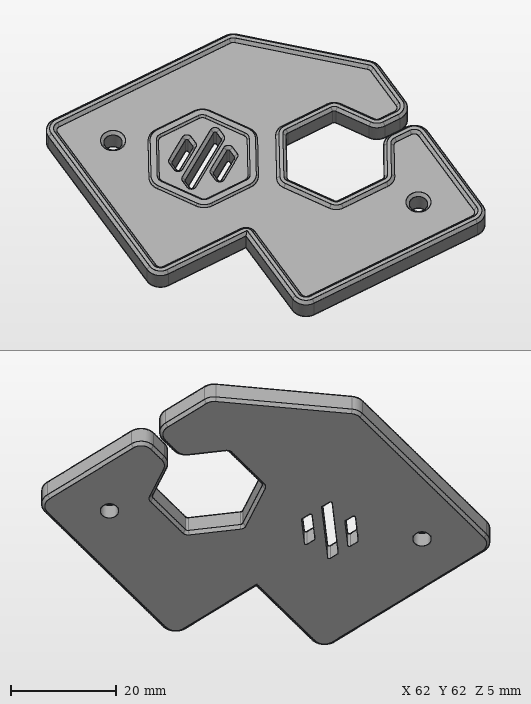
import cadquery as cq
import math

SIDE = 62.0
THICKNESS = 5.0
CORNER_CUT = 20.0
NOTCH_X = SIDE - CORNER_CUT
CORNER_RADIUS = 3.0
CHAMFER = 0.6

FLANK_ANGLE = 45.0

RECESS_DEPTH = 0.6
RIM_WIDTH = 2.0
FLOOR_Z = THICKNESS - RECESS_DEPTH

HEXAGON_HALF_ANGLE = math.radians(30)

OPENING_X = 34.7
OPENING_Y = 44.1
OPENING_APOTHEM = 9.2
OPENING_CORNER_RADIUS = 0.6
GAP_WIDTH = 2.3

RING_X = 22.3
RING_Y = 22.45
RING_APOTHEM = 10.35
RING_WIDTH = 2.0
RING_HEIGHT = 0.4
RING_CORNER_RADIUS = 3.1

SLOT_WIDTH = 2.5
SLOT_PITCH = 4.85
SLOT_HALF_HEIGHT = 5.45
SLOT_ANGLE = 57.0
SLOT_CORNER_RADIUS = 0.3

HOLE_DIAMETER = 3.5
HOLE_INSET = 10.0


def hexagon_circumradius(apothem):
    """Center-to-corner distance of a regular hexagon."""
    return apothem / math.cos(HEXAGON_HALF_ANGLE)


def opening_corners():
    """The five corners of the hexagonal opening, from upper right around the tip to upper left."""
    circumradius = hexagon_circumradius(OPENING_APOTHEM)
    left = OPENING_X - OPENING_APOTHEM
    right = OPENING_X + OPENING_APOTHEM
    lower = OPENING_Y - circumradius / 2
    upper = OPENING_Y + circumradius / 2
    tip = OPENING_Y - circumradius
    return [(right, upper), (right, lower), (OPENING_X, tip), (left, lower), (left, upper)]


def outer_corners():
    """Corners of the plate before and after the opening, without the notch's inner corner."""
    gap_left = OPENING_X - GAP_WIDTH / 2
    gap_right = OPENING_X + GAP_WIDTH / 2
    gap_rise = GAP_WIDTH / 2 * math.tan(HEXAGON_HALF_ANGLE)
    gap_end = OPENING_Y + hexagon_circumradius(OPENING_APOTHEM) - gap_rise
    before_notch = [(0, 0), (NOTCH_X, 0)]
    before_opening = [(SIDE, CORNER_CUT), (SIDE, SIDE), (gap_right, SIDE), (gap_right, gap_end)]
    after_opening = [(gap_left, gap_end), (gap_left, SIDE), (CORNER_CUT, SIDE), (0, SIDE - CORNER_CUT)]
    return before_notch, before_opening, after_opening


def upright_edges_at(body, points):
    """Vertical edges of a body that stand on the given points."""
    tolerance = 0.005

    def on_point(edge):
        center = edge.Center()
        return any(math.hypot(center.x - x, center.y - y) < tolerance for x, y in points)

    return body.newObject([edge for edge in body.edges("|Z").vals() if on_point(edge)])


def make_blank():
    """Plate with rounded upright corners; the notch's inner corner stays sharp."""
    before_notch, before_opening, after_opening = outer_corners()
    notch_corner = (NOTCH_X, CORNER_CUT)
    outline = before_notch + [notch_corner] + before_opening + opening_corners() + after_opening
    blank = cq.Workplane("XY").polyline(outline).close().extrude(THICKNESS)
    rounded = before_notch + before_opening + after_opening
    blank = upright_edges_at(blank, rounded).fillet(CORNER_RADIUS)
    return upright_edges_at(blank, opening_corners()).fillet(OPENING_CORNER_RADIUS)


def make_recess(blank):
    """Pocket volume that follows the outline and widens upward."""
    foot = blank.faces(">Z").wires().val().offset2D(-RIM_WIDTH)[0]
    recess = cq.Workplane("XY").add(foot).toPending().extrude(RECESS_DEPTH, taper=-FLANK_ANGLE)
    return recess.translate((0, 0, -RECESS_DEPTH))


def make_hexagon(apothem, corner_radius, taper):
    """Pointed-up hexagonal block of the ring height, sized at the floor."""
    diameter = 2 * hexagon_circumradius(apothem - corner_radius)
    return (
        cq.Workplane("XY", origin=(RING_X, RING_Y, FLOOR_Z))
        .transformed(rotate=(0, 0, math.degrees(HEXAGON_HALF_ANGLE)))
        .polygon(6, diameter)
        .offset2D(corner_radius)
        .extrude(RING_HEIGHT, taper=taper)
    )


def make_ring():
    """Raised ring with sloped flanks on both sides."""
    outer = make_hexagon(RING_APOTHEM, RING_CORNER_RADIUS, FLANK_ANGLE)
    inner = make_hexagon(RING_APOTHEM - RING_WIDTH, RING_CORNER_RADIUS - RING_WIDTH, -FLANK_ANGLE)
    return outer.cut(inner)


def make_slot(shift, bottom, top):
    """Slanted slot cutter that flares at the floor, placed relative to the ring center."""
    lean = -1 / math.tan(math.radians(SLOT_ANGLE))
    left = shift - SLOT_WIDTH / 2
    right = shift + SLOT_WIDTH / 2
    corners = [
        (left + bottom * lean, bottom),
        (right + bottom * lean, bottom),
        (right + top * lean, top),
        (left + top * lean, top),
    ]
    shaft = (
        cq.Workplane("XY", origin=(RING_X, RING_Y, 0))
        .polyline(corners)
        .close()
        .extrude(FLOOR_Z)
        .edges("|Z")
        .fillet(SLOT_CORNER_RADIUS)
    )
    mouth = shaft.faces(">Z").wires().val()
    flare = cq.Workplane("XY").add(mouth).toPending().extrude(CHAMFER, taper=-FLANK_ANGLE)
    return shaft.union(flare.translate((0, 0, -CHAMFER)))


def make_hole(x, y):
    """Round through-hole cutter, countersunk at the floor."""
    hole = cq.Workplane("XY", origin=(x, y, 0)).circle(HOLE_DIAMETER / 2).extrude(FLOOR_Z)
    sink = cq.Workplane("XY", origin=(x, y, FLOOR_Z - CHAMFER)).circle(HOLE_DIAMETER / 2)
    return hole.union(sink.extrude(CHAMFER, taper=-FLANK_ANGLE))


blank = make_blank()
result = blank.faces("<Z or >Z").edges().chamfer(CHAMFER)
result = result.cut(make_recess(blank))
result = result.union(make_ring())

for shift, bottom, top in (
    (0, -SLOT_HALF_HEIGHT, SLOT_HALF_HEIGHT),
    (SLOT_PITCH, 0, SLOT_HALF_HEIGHT),
    (-SLOT_PITCH, -SLOT_HALF_HEIGHT, 0),
):
    result = result.cut(make_slot(shift, bottom, top))

for center in (HOLE_INSET, SIDE - HOLE_INSET):
    result = result.cut(make_hole(center, center))